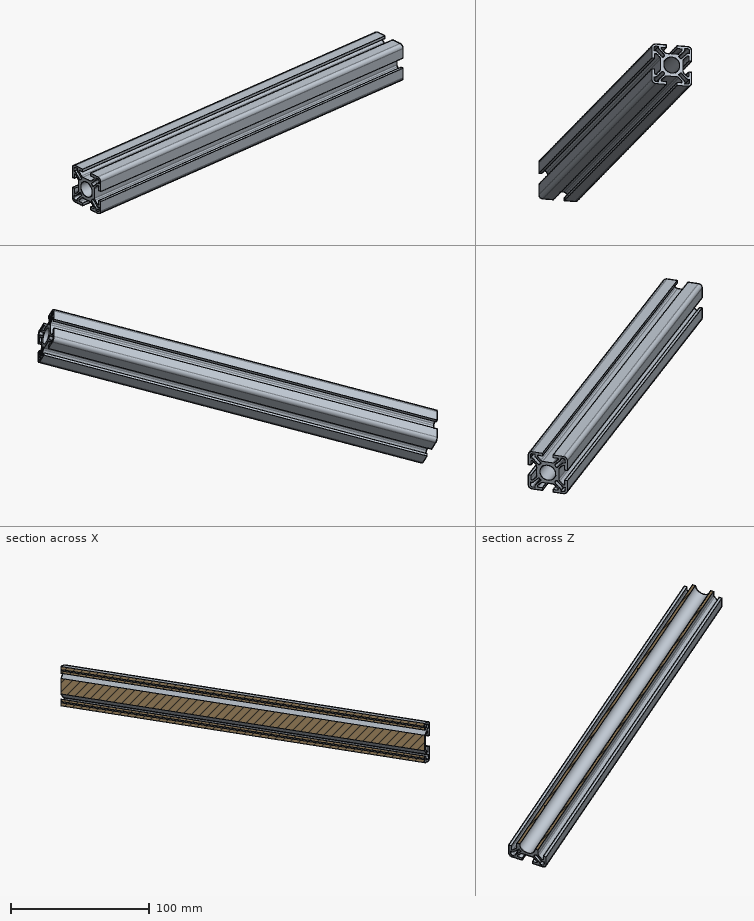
import cadquery as cq
import math

SIDE = 30.0
LENGTH = 300.0
CORNER_RADIUS = 3.0

SLOT_OPENING = 8.2
SLOT_INNER_WIDTH = 15.7
SHOULDER_RADIUS = 0.4
LIP_CORNER_RADIUS = 0.6
LIP_THICKNESS = 2.2

CORE_SIDE = 17.05
FLOOR_RADIUS = 1.95
BORE_DIAMETER = 12.0

STRUT_WIDTH = 5.45
CHANNEL_WIDTH = 2.5
CHANNEL_START = 8.5

POCKET_INNER = 9.95
POCKET_OUTER = 13.3
POCKET_RADIUS = 1.55
CHANNEL_END_RADIUS = 0.5
MOUTH_RADIUS = 2.0

HALF_SIDE = SIDE / 2
HALF_CORE = CORE_SIDE / 2


def prism(profile):
    """Extrude a profile drawn on the XZ plane over the full length, centred on Y."""
    return profile.extrude(LENGTH / 2, both=True)


def outer_block():
    """Square bar with rounded long edges."""
    return prism(cq.Workplane("XZ").rect(SIDE, SIDE)).edges("|Y").fillet(CORNER_RADIUS)


def fillet_edge(body, x, z, radius):
    """Round the lengthwise edge of a prism that runs through (x, z)."""
    return body.edges(cq.NearestToPointSelector((x, 0, z))).fillet(radius)


def t_slot():
    """T-slot in the +Z side, with lower flanks that follow the struts at 45 degrees."""
    half_opening = SLOT_OPENING / 2
    half_inner = SLOT_INNER_WIDTH / 2
    lip_bottom = HALF_SIDE - LIP_THICKNESS
    flank_offset = STRUT_WIDTH / math.sqrt(2)
    right_side = [
        (HALF_CORE - flank_offset, HALF_CORE),
        (half_inner, half_inner + flank_offset),
        (half_inner, lip_bottom),
        (half_opening, lip_bottom),
        (half_opening, HALF_SIDE),
    ]
    left_side = [(-x, z) for x, z in reversed(right_side)]
    slot = prism(cq.Workplane("XZ").polyline(right_side + left_side).close())
    slot = slot.edges("|Y").edges("<Z").fillet(FLOOR_RADIUS)
    for x in (-half_inner, half_inner):
        slot = fillet_edge(slot, x, half_inner + flank_offset, SHOULDER_RADIUS)
        slot = fillet_edge(slot, x, lip_bottom, LIP_CORNER_RADIUS)
    return slot


def corner_hollow():
    """Hollow in the +X +Z corner: a diagonal channel that opens into a rounded square pocket."""
    half_offset = CHANNEL_WIDTH / math.sqrt(2) / 2
    start = CHANNEL_START / math.sqrt(2)
    mouth = POCKET_INNER + 2 * half_offset
    lower_side = [
        (start + half_offset, start - half_offset),
        (mouth, POCKET_INNER),
        (POCKET_OUTER, POCKET_INNER),
    ]
    upper_side = [(z, x) for x, z in reversed(lower_side)]
    outline = lower_side + [(POCKET_OUTER, POCKET_OUTER)] + upper_side
    hollow = prism(cq.Workplane("XZ").polyline(outline).close())
    hollow = fillet_edge(hollow, POCKET_OUTER, POCKET_OUTER, POCKET_RADIUS)
    for x, z in (lower_side[0], upper_side[-1]):
        hollow = fillet_edge(hollow, x, z, CHANNEL_END_RADIUS)
    hollow = fillet_edge(hollow, mouth, POCKET_INNER, MOUTH_RADIUS)
    return fillet_edge(hollow, POCKET_INNER, mouth, MOUTH_RADIUS)


def aluminium_profile():
    """Square bar with a round bore, four T-slots and four hollow corners."""
    bar = outer_block().cut(prism(cq.Workplane("XZ").circle(BORE_DIAMETER / 2)))
    slot = t_slot()
    hollow = corner_hollow()
    for quarter in range(4):
        angle = 90 * quarter
        bar = bar.cut(slot.rotate((0, 0, 0), (0, 1, 0), angle))
        bar = bar.cut(hollow.rotate((0, 0, 0), (0, 1, 0), angle))
    return bar


result = aluminium_profile()